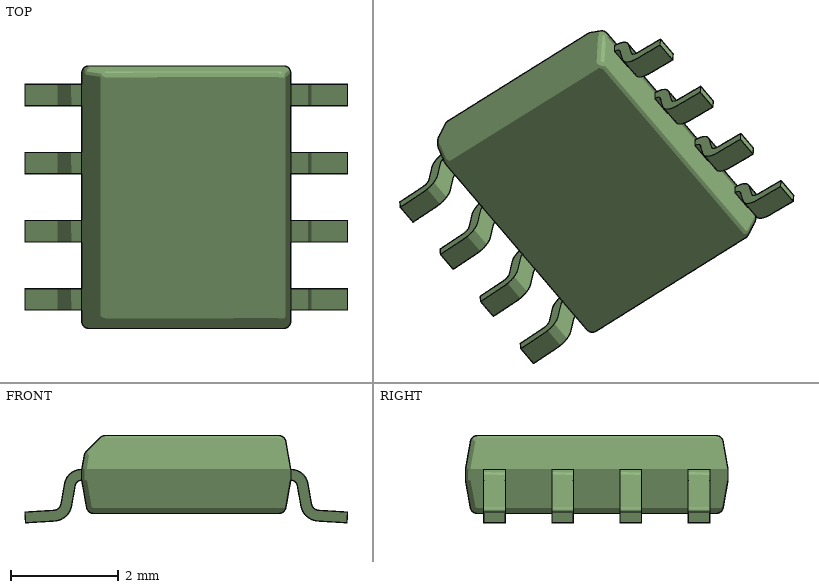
import cadquery as cq
import math

BODY_LENGTH_X = 3.9
BODY_LENGTH_Y = 4.9
BODY_BOTTOM = 0.175
BODY_TOP = 1.63
DRAFT_ANGLE = 10.0
EDGE_RADIUS = 0.14

BEVEL_TOP_WIDTH = 0.27
BEVEL_ANGLE = 45.0

LEAD_SPAN = 6.02
LEAD_WIDTH = 0.405
LEAD_THICKNESS = 0.205
LEAD_PITCH = 1.27
LEADS_PER_SIDE = 4
LEAD_ROOT_TOP = 1.0
LEG_ANGLE = 80.0
FOOT_ANGLE = 3.5
KNEE_INNER_RADIUS = 0.12
ANKLE_INNER_RADIUS = 0.145

BAND_TOP = LEAD_ROOT_TOP
BAND_BOTTOM = BAND_TOP - LEAD_THICKNESS

BODY_FACE_X = BODY_LENGTH_X / 2
LEAD_ROOT_Z = BAND_TOP - LEAD_THICKNESS / 2
TOLERANCE = 0.0005


def make_body_layer(start_z, height, taper):
    """Rectangular layer that narrows by the taper angle; a negative height goes down."""
    return (
        cq.Workplane("XY", origin=(0, 0, start_z))
        .rect(BODY_LENGTH_X, BODY_LENGTH_Y)
        .extrude(height, taper=taper)
    )


def make_bevel_cutter():
    """Prism that removes the upper -X edge of the body."""
    upper_height = BODY_TOP - BAND_TOP
    top_edge_x = -BODY_FACE_X + upper_height * math.tan(math.radians(DRAFT_ANGLE))
    bevel_x = top_edge_x + BEVEL_TOP_WIDTH
    bevel_drop = (bevel_x + BODY_FACE_X) * math.tan(math.radians(BEVEL_ANGLE))
    return (
        cq.Workplane("XZ")
        .polyline([(bevel_x, BODY_TOP), (-BODY_FACE_X, BODY_TOP), (-BODY_FACE_X, BODY_TOP - bevel_drop)])
        .close()
        .extrude(BODY_LENGTH_Y, both=True)
    )


def is_parting_edge(edge):
    """True for the edges that outline the top and bottom of the straight band."""
    is_level = edge.BoundingBox().zlen < TOLERANCE
    return is_level and BAND_BOTTOM - TOLERANCE < edge.Center().z < BAND_TOP + TOLERANCE


def make_body():
    """Tapered and bevelled body, rounded everywhere except along the band outlines."""
    block = (
        make_body_layer(BAND_BOTTOM, LEAD_THICKNESS, 0)
        .union(make_body_layer(BAND_TOP, BODY_TOP - BAND_TOP, DRAFT_ANGLE))
        .union(make_body_layer(BAND_BOTTOM, BODY_BOTTOM - BAND_BOTTOM, DRAFT_ANGLE))
        .cut(make_bevel_cutter())
    )
    rounded_edges = [edge for edge in block.edges().vals() if not is_parting_edge(edge)]
    return block.newObject(rounded_edges).fillet(EDGE_RADIUS)


def make_lead_path():
    """Centre line of a +X lead in the XZ plane, from the body face out to the toe."""
    leg = math.radians(LEG_ANGLE)
    foot = math.radians(FOOT_ANGLE)
    knee_radius = KNEE_INNER_RADIUS + LEAD_THICKNESS / 2
    ankle_radius = ANKLE_INNER_RADIUS + LEAD_THICKNESS / 2

    toe_x = LEAD_SPAN / 2 - LEAD_THICKNESS / 2 * math.sin(foot)
    toe_z = LEAD_THICKNESS / 2 * math.cos(foot)

    def knee_point(angle):
        x = BODY_FACE_X + knee_radius * math.sin(angle)
        z = LEAD_ROOT_Z - knee_radius * (1 - math.cos(angle))
        return x, z

    knee_end_x, knee_end_z = knee_point(leg)
    run = toe_x - knee_end_x - ankle_radius * (math.sin(leg) - math.sin(foot))
    drop = knee_end_z - toe_z - ankle_radius * (math.cos(foot) - math.cos(leg))
    leg_length = (drop * math.cos(foot) - run * math.sin(foot)) / math.sin(leg - foot)

    ankle_start_x = knee_end_x + leg_length * math.cos(leg)
    ankle_start_z = knee_end_z - leg_length * math.sin(leg)

    def ankle_point(angle):
        x = ankle_start_x + ankle_radius * (math.sin(leg) - math.sin(angle))
        z = ankle_start_z + ankle_radius * (math.cos(leg) - math.cos(angle))
        return x, z

    return (
        cq.Workplane("XZ")
        .moveTo(BODY_FACE_X, LEAD_ROOT_Z)
        .threePointArc(knee_point(leg / 2), (knee_end_x, knee_end_z))
        .lineTo(ankle_start_x, ankle_start_z)
        .threePointArc(ankle_point((leg + foot) / 2), ankle_point(foot))
        .lineTo(toe_x, toe_z)
    )


def make_lead():
    """One +X lead centred on Y = 0, butting against the band of the body."""
    return (
        cq.Workplane("YZ", origin=(BODY_FACE_X, 0, LEAD_ROOT_Z))
        .rect(LEAD_WIDTH, LEAD_THICKNESS)
        .sweep(make_lead_path())
    )


def make_leads():
    """Two rows of separate leads, one row mirrored from the other."""
    right_lead = make_lead()
    left_lead = right_lead.mirror("YZ")
    first_y = -LEAD_PITCH * (LEADS_PER_SIDE - 1) / 2
    copies = []
    for index in range(LEADS_PER_SIDE):
        lead_y = first_y + index * LEAD_PITCH
        for lead in (left_lead, right_lead):
            copies.append(lead.translate((0, lead_y, 0)).val())
    return copies


body = make_body()
leads = make_leads()
result = cq.Compound.makeCompound([body.val(), *leads])